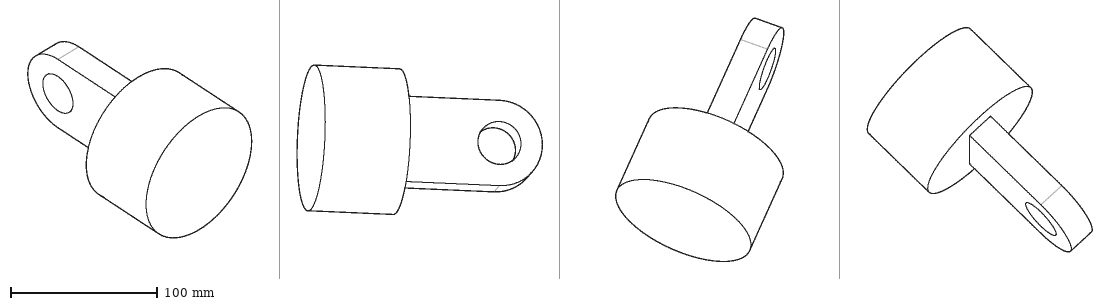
import cadquery as cq

overall_length = 159.45
head_diameter = 100.0
tongue_height = 60.0
tongue_thickness = 20.0
hole_diameter = 30.0
hole_to_head = 70.0

tongue_end_radius = tongue_height / 2
head_length = overall_length - hole_to_head - tongue_end_radius


def make_head():
    """Solid cylinder along X, starting where the tongue ends."""
    return (
        cq.Workplane("YZ")
        .workplane(offset=hole_to_head)
        .circle(head_diameter / 2)
        .extrude(head_length)
    )


def make_tongue():
    """Flat tongue with a full-round end, centred on the XZ plane."""
    return (
        cq.Workplane("XZ")
        .moveTo(hole_to_head, tongue_end_radius)
        .lineTo(0, tongue_end_radius)
        .threePointArc((-tongue_end_radius, 0), (0, -tongue_end_radius))
        .lineTo(hole_to_head, -tongue_end_radius)
        .close()
        .extrude(tongue_thickness / 2, both=True)
    )


def make_hole():
    """Cutter for the cross hole, concentric with the rounded end."""
    return (
        cq.Workplane("XZ")
        .circle(hole_diameter / 2)
        .extrude(tongue_thickness / 2, both=True)
    )


result = make_head().union(make_tongue()).cut(make_hole())